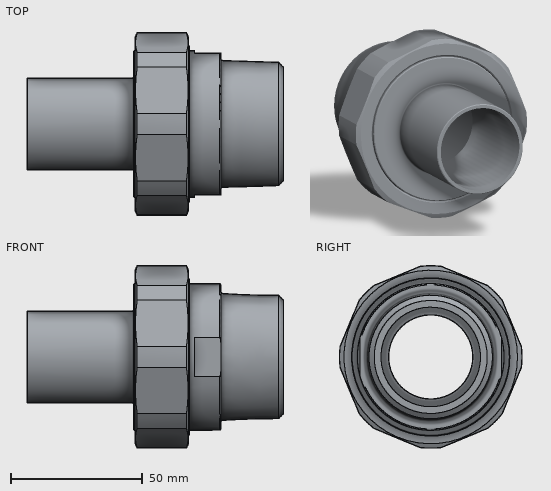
import cadquery as cq
import math


total_length = 98.0
tail_front = 40.7
nut_start = 41.3
nut_end = 61.7
lip_end = 46.0
joint = 51.0
collar_end = 62.0
hub_end = 74.0

tolerance = 0.01

tube_diameter = 35.0
tube_bore = 32.0
tube_edge = 0.3
tube_root_fillet = 0.5
flange_diameter = 56.0
flange_edge = 0.3
shoulder_diameter = 60.0

across_flats = 67.0
corner_diameter = 69.68
nut_sides = 8
nut_face_diameter = 66.2
nut_edge_angle = 25.0
lip_hole = 56.5
lip_hole_edge = 0.5
nut_bore = 60.38

collar_diameter = 60.0
hub_diameter = 56.0
body_bore = 38.0
body_fillet = 0.5
wrench_flats = 54.0
flat_length = 10.0
taper_ratio = 1 / 16
taper_start_diameter = 48.5
taper_root_fillet = 0.8
taper_end_chamfer = 2.0


def cylinder(start, end, diameter):
    """Cylinder on the X axis between two stations."""
    return cq.Workplane("YZ", origin=(start, 0, 0)).circle(diameter / 2).extrude(end - start)


def revolve_about_x(points):
    """Solid of revolution from (x, radius) points."""
    return cq.Workplane("XY").polyline(points).close().revolve(360, (0, 0, 0), (1, 0, 0))


def circle_edge(x, diameter):
    """Selector for the one circular edge of this diameter centred on the X axis at x."""
    def box(reach):
        return cq.selectors.BoxSelector(
            (x - tolerance, -reach, -reach), (x + tolerance, reach, reach), boundingbox=True
        )

    radius = diameter / 2
    return box(radius + tolerance) - box(radius - tolerance)


def make_tail():
    tube_radius = tube_diameter / 2
    flange_radius = flange_diameter / 2
    shoulder_radius = shoulder_diameter / 2
    tail = revolve_about_x([
        (0, 0),
        (0, tube_radius),
        (tail_front, tube_radius),
        (tail_front, flange_radius),
        (lip_end, flange_radius),
        (lip_end, shoulder_radius),
        (joint, shoulder_radius),
        (joint, 0),
    ])
    tail = tail.edges(circle_edge(tail_front, tube_diameter)).fillet(tube_root_fillet)
    tail = tail.faces("<X").edges().chamfer(tube_edge)
    tail = tail.edges(circle_edge(tail_front, flange_diameter)).chamfer(flange_edge)
    return tail.cut(cylinder(0, joint, tube_bore))


def make_nut():
    length = nut_end - nut_start
    corner_radius = corner_diameter / 2
    face_radius = nut_face_diameter / 2
    bevel = (corner_radius - face_radius) * math.tan(math.radians(nut_edge_angle))
    across_corners = across_flats / math.cos(math.pi / nut_sides)

    octagon = (
        cq.Workplane("YZ", origin=(nut_start, 0, 0))
        .polygon(nut_sides, across_corners)
        .extrude(length)
    )
    blank = revolve_about_x([
        (nut_start, 0),
        (nut_start, face_radius),
        (nut_start + bevel, corner_radius),
        (nut_end - bevel, corner_radius),
        (nut_end, face_radius),
        (nut_end, 0),
    ])
    nut = octagon.intersect(blank)
    nut = nut.cut(cylinder(nut_start, nut_end, lip_hole))
    nut = nut.edges(circle_edge(nut_start, lip_hole)).chamfer(lip_hole_edge)
    return nut.cut(cylinder(lip_end, nut_end, nut_bore))


def make_body():
    collar_radius = collar_diameter / 2
    hub_radius = hub_diameter / 2
    taper_start_radius = taper_start_diameter / 2
    chamfer_start = total_length - taper_end_chamfer
    taper_end_radius = taper_start_radius - (chamfer_start - hub_end) * taper_ratio / 2
    body = revolve_about_x([
        (joint, 0),
        (joint, collar_radius),
        (collar_end, collar_radius),
        (collar_end, hub_radius),
        (hub_end, hub_radius),
        (hub_end, taper_start_radius),
        (chamfer_start, taper_end_radius),
        (total_length, taper_end_radius - taper_end_chamfer),
        (total_length, 0),
    ])
    body = body.edges(circle_edge(collar_end, collar_diameter)).fillet(body_fillet)
    body = body.edges(circle_edge(collar_end, hub_diameter)).fillet(body_fillet)
    body = body.edges(circle_edge(hub_end, taper_start_diameter)).fillet(taper_root_fillet)
    body = body.edges(circle_edge(hub_end, hub_diameter)).fillet(body_fillet)

    for side in (-1, 1):
        flat_cutter = cq.Workplane("XY").box(
            flat_length, hub_diameter, hub_diameter, centered=(False, True, True)
        )
        offset = side * (wrench_flats + hub_diameter) / 2
        body = body.cut(flat_cutter.translate((hub_end - flat_length, offset, 0)))

    return body.cut(cylinder(joint, total_length, body_bore))


tail = make_tail()
nut = make_nut()
body = make_body()

result = cq.Compound.makeCompound([tail.val(), nut.val(), body.val()])